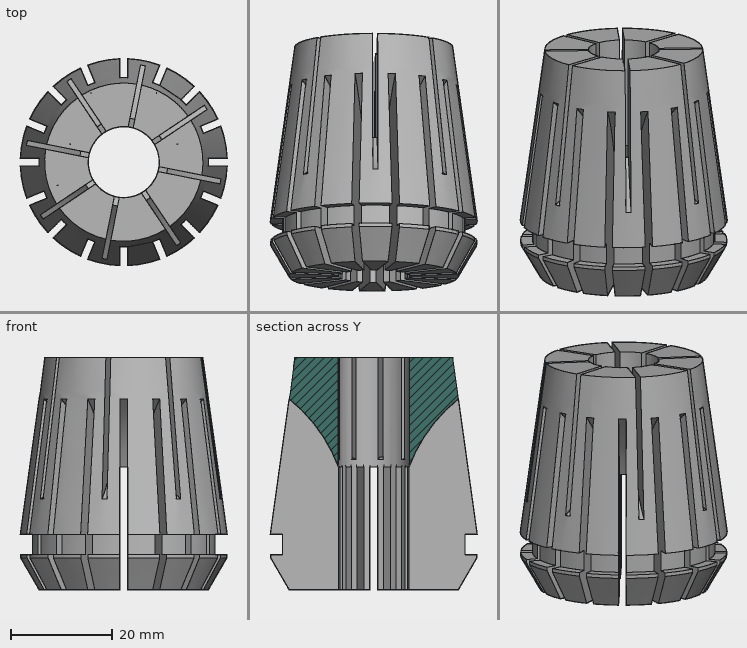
import cadquery as cq
import math

height = 46.0
bottom_radius = 16.75
rim_radius = 20.4
rim_low = 6.3
rim_high = 7.0
groove_radius = 18.1
cone_low = 11.0
cone_low_radius = 20.5
top_radius = 15.65
bore_radius = 7.0

bottom_slot_count = 16
bottom_slot_width = 1.5
bottom_slot_bore_z = 24.3
bottom_slot_outer_z = 37.8

top_slot_count = 8
top_slot_width = 1.0
top_slot_crest_radius = 8.75
top_slot_crest_z = 26.3
top_slot_dip_angle = 16.0
top_slot_outer_z = 18.0
bottom_slot_pitch = 360.0 / bottom_slot_count
top_slot_start_angle = 1.5 * bottom_slot_pitch

saw_radius = 31.0
clearance = 2.0


def cone_radius(z):
    """Outer radius of the long cone at height z."""
    slope = (top_radius - cone_low_radius) / (height - cone_low)
    return cone_low_radius + slope * (z - cone_low)


def make_body():
    outline = [
        (bore_radius, 0),
        (bottom_radius, 0),
        (rim_radius, rim_low),
        (rim_radius, rim_high),
        (groove_radius, rim_high),
        (groove_radius, cone_low),
        (cone_low_radius, cone_low),
        (top_radius, height),
        (bore_radius, height),
    ]
    return cq.Workplane("XZ").polyline(outline).close().revolve(360, (0, 0), (0, 1))


def arc_middle(start, end, radius, side):
    """Midpoint of an arc from start to end, bulging left of travel (side 1) or right (side -1)."""
    dx = end[0] - start[0]
    dz = end[1] - start[1]
    chord = math.hypot(dx, dz)
    rise = radius - math.sqrt(radius**2 - (chord / 2) ** 2)
    mid_x = (start[0] + end[0]) / 2 - side * rise * dz / chord
    mid_z = (start[1] + end[1]) / 2 + side * rise * dx / chord
    return mid_x, mid_z


def make_slot_cutter(width, axis_z, arc_start, outer_z, open_z, side):
    """Radial blade open towards open_z.

    Its floor runs straight from the axis to arc_start, then as an arc to the cone at outer_z.
    """
    arc_end = (cone_radius(outer_z), outer_z)
    reach = cone_low_radius + clearance
    return (
        cq.Workplane("XZ")
        .moveTo(0, open_z)
        .lineTo(0, axis_z)
        .lineTo(*arc_start)
        .threePointArc(arc_middle(arc_start, arc_end, saw_radius, side), arc_end)
        .lineTo(reach, outer_z)
        .lineTo(reach, open_z)
        .close()
        .extrude(width / 2, both=True)
    )


def cut_ring(body, cutter, count, start_angle):
    for i in range(count):
        angle = start_angle + i * 360.0 / count
        body = body.cut(cutter.rotate((0, 0, 0), (0, 0, 1), angle))
    return body


def make_bottom_cutter():
    return make_slot_cutter(
        width=bottom_slot_width,
        axis_z=bottom_slot_bore_z,
        arc_start=(bore_radius, bottom_slot_bore_z),
        outer_z=bottom_slot_outer_z,
        open_z=-clearance,
        side=1,
    )


def make_top_cutter():
    dip = top_slot_crest_radius * math.tan(math.radians(top_slot_dip_angle))
    return make_slot_cutter(
        width=top_slot_width,
        axis_z=top_slot_crest_z - dip,
        arc_start=(top_slot_crest_radius, top_slot_crest_z),
        outer_z=top_slot_outer_z,
        open_z=height + clearance,
        side=-1,
    )


result = make_body()
result = cut_ring(result, make_bottom_cutter(), bottom_slot_count, 0)
result = cut_ring(result, make_top_cutter(), top_slot_count, top_slot_start_angle)